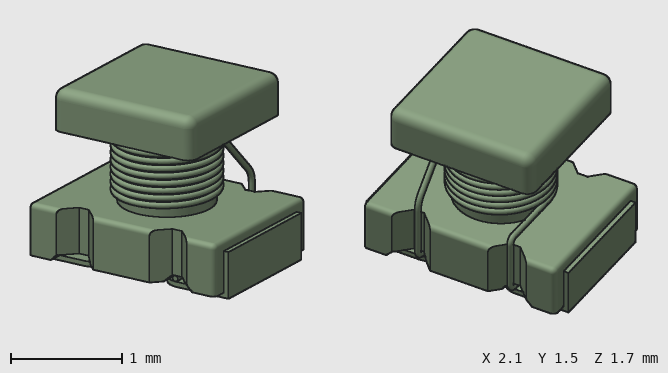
import cadquery as cq
import math


base_length = 2.0
base_width = 1.5
base_fillet = 0.05
base_top = 0.55

overall_height = 1.7
head_side = base_width
head_bottom = 1.3
head_fillet = 0.1

post_diameter = 0.9

overall_length = 2.1
terminal_thickness = (overall_length - base_length) / 2
terminal_width = 1.2
terminal_top = 0.45
terminal_inner_x = 0.3
terminal_corner_radius = 0.2

wire_diameter = 0.059
wire_radius = wire_diameter / 2
coil_radius = post_diameter / 2 + wire_radius
coil_bottom = 0.65
coil_top = 1.25
coil_turns = 8.5
coil_pitch = (coil_top - coil_bottom) / coil_turns
leg_y = 0.66
tight_bend_radius = 0.06
slope_start_radius = 0.267
slope_end_radius = 0.2
channel_wire_z = terminal_thickness + wire_radius
lower_lead_end_y = 0.0
upper_lead_end_y = -0.6

notch_depth = 0.15
notch_inner_x = terminal_inner_x
notch_floor_inner_x = notch_inner_x + notch_depth
notch_floor_width = 0.1
notch_floor_outer_x = notch_floor_inner_x + notch_floor_width
notch_outer_x = notch_floor_outer_x + notch_depth

channel_inner_x = coil_radius - wire_radius
channel_outer_x = notch_outer_x
channel_depth = wire_diameter

base_bottom = terminal_thickness
half_width = base_width / 2
SIDES = (-1, 1)


def rounded_block(length, width, bottom, top, fillet):
    """Block with rounded upright edges and a rounded top rim."""
    block = cq.Workplane("XY").workplane(offset=bottom).rect(length, width).extrude(top - bottom)
    return block.edges("|Z or >Z").fillet(fillet)


def make_notch(x_side, y_side):
    """Tapered upright notch, cut through the full height of the base."""
    floor_y = half_width - notch_depth
    outline = [
        (notch_inner_x, half_width),
        (notch_floor_inner_x, floor_y),
        (notch_floor_outer_x, floor_y),
        (notch_outer_x, half_width),
    ]
    points = [(x_side * x, y_side * y) for x, y in outline]
    return cq.Workplane("XY").polyline(points).close().extrude(base_top)


def make_channel(x_side):
    """Trapezoidal channel along Y that opens at the underside of the base."""
    roof_z = base_bottom + channel_depth
    outline = [
        (channel_inner_x - channel_depth, base_bottom),
        (channel_inner_x, roof_z),
        (channel_outer_x, roof_z),
        (channel_outer_x + channel_depth, base_bottom),
    ]
    points = [(x_side * x, z) for x, z in outline]
    return cq.Workplane("XZ").polyline(points).close().extrude(half_width, both=True)


def make_terminal(x_side):
    """Foot under the base with rounded inner corners, and an upright plate on the base end."""
    foot_length = overall_length / 2 - terminal_inner_x
    foot_x = x_side * (terminal_inner_x + foot_length / 2)
    foot = (
        cq.Workplane("XY")
        .center(foot_x, 0)
        .rect(foot_length, terminal_width)
        .extrude(terminal_thickness)
        .edges("|Z")
        .edges("<X" if x_side > 0 else ">X")
        .fillet(terminal_corner_radius)
    )
    plate = (
        cq.Workplane("XY")
        .center(x_side * (overall_length - terminal_thickness) / 2, 0)
        .rect(terminal_thickness, terminal_width)
        .extrude(terminal_top)
    )
    return foot.union(plate)


def make_core():
    """Base, post and head in one piece, with a terminal at each end."""
    core = rounded_block(base_length, base_width, base_bottom, base_top, base_fillet)
    for x_side in SIDES:
        core = core.cut(make_channel(x_side))
        for y_side in SIDES:
            core = core.cut(make_notch(x_side, y_side))
    post = cq.Workplane("XY").workplane(offset=base_top).circle(post_diameter / 2)
    core = core.union(post.extrude(head_bottom - base_top))
    core = core.union(rounded_block(head_side, head_side, head_bottom, overall_height, head_fillet))
    for x_side in SIDES:
        core = core.union(make_terminal(x_side))
    return core


def sweep_wire(path, start_x):
    """Sweep the round wire section along a path that starts at Y = 0 and heads along Y."""
    start_z = path.val().startPoint().z
    section = cq.Workplane("XZ", origin=(start_x, 0, start_z)).circle(wire_radius)
    return section.sweep(path)


def bend_point(centre_y, centre_z, radius, angle):
    """Point on a bend in the YZ plane; the angle is in degrees from +Y towards +Z."""
    turn = math.radians(angle)
    return (centre_y + radius * math.cos(turn), centre_z + radius * math.sin(turn))


def add_leg(path, end_y):
    """Run down the leg, round the lower bend and along the channel."""
    bend = tight_bend_radius
    bend_y = leg_y - bend
    bend_z = channel_wire_z + bend
    return (
        path.lineTo(leg_y, bend_z)
        .threePointArc(bend_point(bend_y, bend_z, bend, -45), (bend_y, channel_wire_z))
        .lineTo(end_y, channel_wire_z)
    )


def make_lower_lead():
    """Lead from the bottom of the coil: level along +Y, then down to the channel."""
    bend = tight_bend_radius
    bend_y = leg_y - bend
    bend_z = coil_bottom - bend
    path = (
        cq.Workplane("YZ", origin=(-coil_radius, 0, 0))
        .moveTo(0, coil_bottom)
        .lineTo(bend_y, coil_bottom)
        .threePointArc(bend_point(bend_y, bend_z, bend, 45), (leg_y, bend_z))
    )
    return sweep_wire(add_leg(path, lower_lead_end_y), -coil_radius)


def make_upper_lead():
    """Lead from the top of the coil: bends to a 45 degree slope, then down to the channel."""
    upper_centre_z = coil_top - slope_start_radius
    slope_start_y, slope_start_z = bend_point(0, upper_centre_z, slope_start_radius, 45)
    lower_centre_y = leg_y - slope_end_radius
    slope_end_y, slope_end_rise = bend_point(lower_centre_y, 0, slope_end_radius, 45)
    slope_end_z = slope_start_z - (slope_end_y - slope_start_y)
    lower_centre_z = slope_end_z - slope_end_rise
    path = (
        cq.Workplane("YZ", origin=(coil_radius, 0, 0))
        .moveTo(0, coil_top)
        .threePointArc(
            bend_point(0, upper_centre_z, slope_start_radius, 67.5),
            (slope_start_y, slope_start_z),
        )
        .lineTo(slope_end_y, slope_end_z)
        .threePointArc(
            bend_point(lower_centre_y, lower_centre_z, slope_end_radius, 22.5),
            (leg_y, lower_centre_z),
        )
    )
    return sweep_wire(add_leg(path, upper_lead_end_y), coil_radius)


def make_coil():
    """Helix that rises from -X through -Y and ends at +X."""
    helix = cq.Wire.makeHelix(coil_pitch, coil_top - coil_bottom, coil_radius)
    helix = helix.rotate(cq.Vector(0, 0, 0), cq.Vector(0, 0, 1), 180)
    helix = helix.translate(cq.Vector(0, 0, coil_bottom))
    section = cq.Workplane("XZ", origin=(-coil_radius, 0, coil_bottom)).circle(wire_radius)
    return section.sweep(cq.Workplane(helix), isFrenet=True)


def make_winding():
    """Coil and its two leads as one continuous wire."""
    return make_coil().union(make_lower_lead()).union(make_upper_lead())


core = make_core()
winding = make_winding()

result = cq.Compound.makeCompound([core.solids().val(), winding.solids().val()])